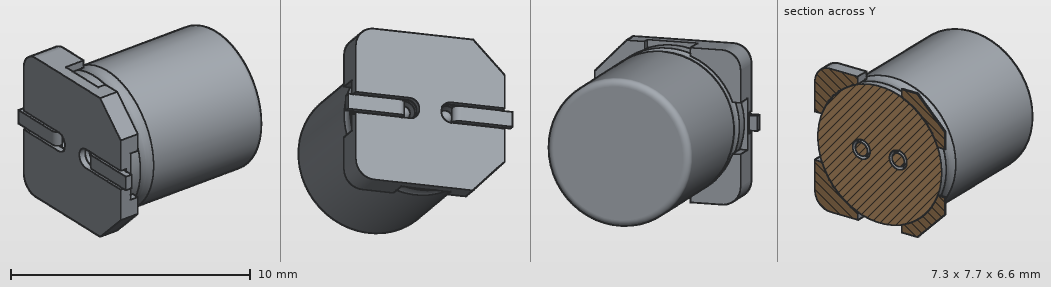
import cadquery as cq
import math

TOTAL_LENGTH = 7.7

CAN_RADIUS = 3.15
CAN_SEAT = 0.515
CAN_FILLET = 0.3
CRIMP_START = 1.155
CRIMP_END = 1.855
CRIMP_DEPTH = 0.09
CRIMP_ARC_SHARE = 0.75

BASE_SIDE = 6.6
BASE_HEIGHT = 1.46
BASE_LOW_HEIGHT = 0.9
CORNER_RADIUS = 0.81
CORNER_CHAMFER = 1.4
NOTCH_WIDTH = 2.2

LEAD_SPAN = 7.3
LEAD_WIDTH = 0.65
LEAD_THICKNESS = 0.3
LEAD_INNER_X = 1.06
STUD_X = 0.93
STUD_RADIUS = 0.315
WELL_FLOOR = 1.155
SLOT_END_RADIUS = 0.45
HOLE_RADIUS = 0.43
LEAD_SIDES = (-1, 1)


def plate(height):
    """Workplane parallel to XZ at the given Y, with its normal toward +Y."""
    return cq.Workplane(cq.Plane((0, height, 0), xDir=(1, 0, 0), normal=(0, 1, 0)))


def block(x_min, x_max, y_min, y_max, z_width):
    """Box centred on Z = 0."""
    size = (x_max - x_min, y_max - y_min, z_width)
    center = ((x_min + x_max) / 2, (y_min + y_max) / 2, 0)
    return cq.Workplane("XY").box(*size).translate(center)


def make_shell():
    """Crimped cylinder with a rounded far end, revolved about Y."""
    crimp_middle = (CRIMP_START + CRIMP_END) / 2
    neck_radius = CAN_RADIUS - CRIMP_DEPTH
    crimp_inset = CRIMP_DEPTH * CRIMP_ARC_SHARE
    lower_quarter = (CRIMP_START + crimp_middle) / 2
    upper_quarter = (crimp_middle + CRIMP_END) / 2
    arc_offset = CAN_FILLET * (1 - math.sqrt(0.5))
    return (
        cq.Workplane("XY")
        .moveTo(0, CAN_SEAT)
        .lineTo(CAN_RADIUS, CAN_SEAT)
        .lineTo(CAN_RADIUS, CRIMP_START)
        .threePointArc((CAN_RADIUS - crimp_inset, lower_quarter), (neck_radius, crimp_middle))
        .threePointArc((CAN_RADIUS - crimp_inset, upper_quarter), (CAN_RADIUS, CRIMP_END))
        .lineTo(CAN_RADIUS, TOTAL_LENGTH - CAN_FILLET)
        .threePointArc(
            (CAN_RADIUS - arc_offset, TOTAL_LENGTH - arc_offset),
            (CAN_RADIUS - CAN_FILLET, TOTAL_LENGTH),
        )
        .lineTo(0, TOTAL_LENGTH)
        .close()
        .revolve(360, (0, 0, 0), (0, 1, 0))
    )


def make_can():
    """Shell with two wells in its closed end, each holding a domed terminal stud."""
    can = make_shell()
    well_depth = WELL_FLOOR - CAN_SEAT
    dome_center = CAN_SEAT + STUD_RADIUS
    for side in LEAD_SIDES:
        can = can.cut(plate(CAN_SEAT).center(side * STUD_X, 0).circle(HOLE_RADIUS).extrude(well_depth))
        stud = plate(dome_center).center(side * STUD_X, 0).circle(STUD_RADIUS).extrude(WELL_FLOOR - dome_center)
        dome = cq.Workplane("XY").sphere(STUD_RADIUS).translate((side * STUD_X, dome_center, 0))
        can = can.union(stud.union(dome))
    return can


def cut_lead_channels(base):
    """Round-ended slot for each lead, with a hole at its end that reaches the can."""
    for side in LEAD_SIDES:
        x_ends = sorted((side * STUD_X, side * BASE_SIDE / 2))
        base = base.cut(block(*x_ends, 0, LEAD_THICKNESS, 2 * SLOT_END_RADIUS))
        end = plate(0).center(side * STUD_X, 0)
        base = base.cut(end.circle(SLOT_END_RADIUS).extrude(LEAD_THICKNESS))
        base = base.cut(end.circle(HOLE_RADIUS).extrude(CAN_SEAT))
    return base


def make_base():
    """Square base with a can seat, four side notches and a lowered +X half."""
    half = BASE_SIDE / 2
    base = plate(0).rect(BASE_SIDE, BASE_SIDE).extrude(BASE_HEIGHT)
    base = base.edges("|Y and <X").fillet(CORNER_RADIUS)
    base = base.edges("|Y and >X").chamfer(CORNER_CHAMFER)
    base = base.cut(block(0, half, BASE_LOW_HEIGHT, BASE_HEIGHT, BASE_SIDE))
    base = base.cut(plate(CAN_SEAT).circle(CAN_RADIUS).extrude(BASE_HEIGHT))
    base = base.cut(block(-half, half, CAN_SEAT, BASE_HEIGHT, NOTCH_WIDTH))
    base = base.cut(block(-NOTCH_WIDTH / 2, NOTCH_WIDTH / 2, CAN_SEAT, BASE_HEIGHT, BASE_SIDE))
    return cut_lead_channels(base)


def make_lead(side):
    """Flat strip with a rounded lower edge at its inner end."""
    inner_x = side * LEAD_INNER_X
    x_ends = sorted((inner_x, side * LEAD_SPAN / 2))
    strip = block(*x_ends, 0, LEAD_THICKNESS, LEAD_WIDTH)
    rounding_start = inner_x + side * LEAD_THICKNESS
    corner_ends = sorted((inner_x, rounding_start))
    corner = block(*corner_ends, 0, LEAD_THICKNESS, LEAD_WIDTH)
    barrel = (
        cq.Workplane("XY", origin=(rounding_start, LEAD_THICKNESS, -LEAD_WIDTH / 2))
        .circle(LEAD_THICKNESS)
        .extrude(LEAD_WIDTH)
    )
    return strip.cut(corner.cut(barrel))


can = make_can()
base = make_base()
leads = [make_lead(side) for side in LEAD_SIDES]

result = cq.Compound.makeCompound([can.val(), base.val(), *[lead.val() for lead in leads]])